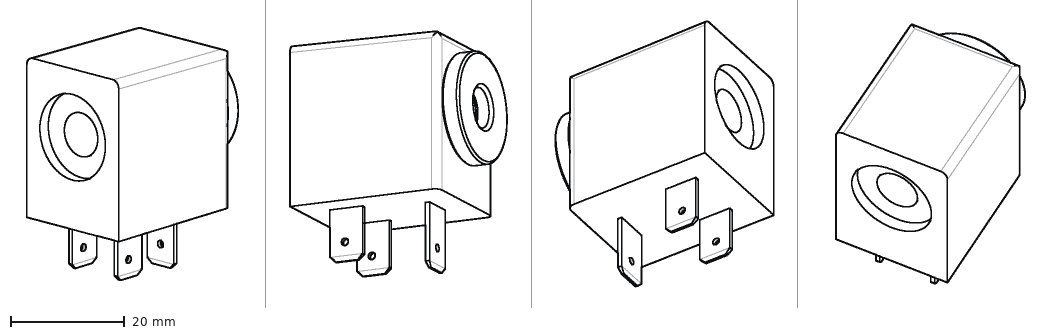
import cadquery as cq


housing_width = 22.0
housing_depth = 29.0
axis_to_bottom = 16.9
axis_to_top = 12.5
top_drop = 0.5
edge_radius = 1.4
bore_diameter = 8.0
recess_diameter = 15.7
recess_depth = 2.17

blade_width = 6.35
blade_thickness = 0.8
blade_tip_length = 1.0
blade_corner_cut = 1.0
blade_tip_bevel = 0.2
blade_hole_diameter = 1.3

side_blade_length = 9.55
side_blade_x = 5.4
side_blade_y = 8.5
side_blade_hole_drop = 6.1
side_blade_hole_shift = 0.3

rear_blade_length = 11.6
rear_blade_y = 23.05
rear_blade_hole_drop = 7.6

nut_diameter = 20.0
nut_thickness = 3.4
nut_edge_chamfer = 0.4
nut_hole_diameter = 7.18
nut_hole_mouth_diameter = 8.4


def make_cylinder_along_y(diameter, start_y, length):
    return cq.Workplane(cq.Solid.makeCylinder(
        diameter / 2, length, cq.Vector(0, start_y, 0), cq.Vector(0, 1, 0)))


def make_blade(length, hole_drop, hole_shift):
    """Blade hanging down from Z = 0, with its width along X and its thickness along Y."""
    half_width = blade_width / 2
    half_thickness = blade_thickness / 2
    shoulder_z = blade_tip_length - length
    tip_half_width = half_width - blade_corner_cut
    tip_half_thickness = half_thickness - blade_tip_bevel
    face = (
        cq.Workplane("XZ")
        .polyline([
            (-half_width, 0),
            (half_width, 0),
            (half_width, shoulder_z),
            (tip_half_width, -length),
            (-tip_half_width, -length),
            (-half_width, shoulder_z),
        ])
        .close()
        .extrude(half_thickness, both=True)
    )
    bevelled_edge = (
        cq.Workplane("YZ")
        .polyline([
            (-half_thickness, 0),
            (half_thickness, 0),
            (half_thickness, shoulder_z),
            (tip_half_thickness, -length),
            (-tip_half_thickness, -length),
            (-half_thickness, shoulder_z),
        ])
        .close()
        .extrude(half_width, both=True)
    )
    hole = (
        cq.Workplane("XZ")
        .center(hole_shift, -hole_drop)
        .circle(blade_hole_diameter / 2)
        .extrude(blade_thickness, both=True)
    )
    return face.intersect(bevelled_edge).cut(hole)


def make_housing():
    block = (
        cq.Workplane("YZ")
        .polyline([
            (0, -axis_to_bottom),
            (housing_depth, -axis_to_bottom),
            (housing_depth, axis_to_top - top_drop),
            (0, axis_to_top),
        ])
        .close()
        .extrude(housing_width / 2, both=True)
    )
    top_sides_rounded = block.faces(">Z").edges("<X or >X").fillet(edge_radius)
    rear_sides_rounded = block.faces(">Y").edges("|Z").fillet(edge_radius)
    rear_top_rounded = block.faces(">Y").edges(">Z").fillet(edge_radius)
    block = top_sides_rounded.intersect(rear_sides_rounded).intersect(rear_top_rounded)

    recess = make_cylinder_along_y(recess_diameter, 0, recess_depth)
    bore = make_cylinder_along_y(bore_diameter, 0, housing_depth)
    body = block.cut(recess).cut(bore)

    side_blade = make_blade(side_blade_length, side_blade_hole_drop, -side_blade_hole_shift)
    side_blade = side_blade.rotate((0, 0, 0), (0, 0, 1), 90)
    for side in (-1, 1):
        body = body.union(side_blade.translate((side * side_blade_x, side_blade_y, -axis_to_bottom)))

    rear_blade = make_blade(rear_blade_length, rear_blade_hole_drop, 0)
    return body.union(rear_blade.translate((0, rear_blade_y, -axis_to_bottom)))


def make_nut():
    blank = make_cylinder_along_y(nut_diameter, housing_depth, nut_thickness)
    blank = blank.faces("<Y or >Y").edges().chamfer(nut_edge_chamfer)
    hole = make_cylinder_along_y(nut_hole_diameter, housing_depth, nut_thickness)
    mouth_chamfer = (nut_hole_mouth_diameter - nut_hole_diameter) / 2
    return (
        blank.cut(hole)
        .edges(cq.selectors.RadiusNthSelector(0))
        .chamfer(mouth_chamfer)
    )


housing = make_housing()
nut = make_nut()

result = cq.Compound.makeCompound([housing.val(), nut.val()])